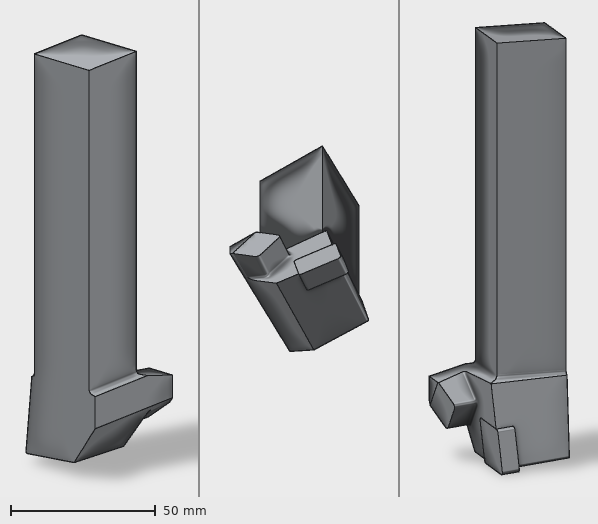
import cadquery as cq
import math

LENGTH = 151.4
SHANK = 25.0

HEAD_RIGHT = SHANK + 2.7
HEAD_DEPTH = 40.9
SHOULDER_Z = 32.7
SHOULDER_SLOPE = 15.0
ROOT_RADIUS = 1.7
RELIEF_START_Z = 20.1
RELIEF_RUN = 9.2
RELIEF_RISE = 14.2

TIP = (-7.7, 25.3, -0.1)
RAKE_PER_X = 0.09
RAKE_PER_Z = 0.08
EDGE_ANGLE = 5.0
HEAD_SETBACK = 1.5
HEAD_NOSE_RADIUS = 0.8
FLANK_LENGTH = 45.4

INSERT_EDGE = 16.0
INSERT_THICKNESS = 6.4
NOSE_RADIUS = 1.2

FINGER_TIP = (22.4, 10.1)
FINGER_ANGLE = 42.0
FINGER_WIDTH = 13.9
FINGER_REACH = 25.7
FINGER_EDGE_RADIUS = 1.5
FINGER_ROOT_RADIUS = 1.2
FINGER_ROOT_SPAN = 6.8
BEVEL_RUN = 9.5
BEVEL_DEPTH = 3.3

PICK_MARGIN = 0.2

RAKE_PLANE = cq.Plane(
    origin=TIP,
    xDir=(0, RAKE_PER_Z, 1),
    normal=(-RAKE_PER_X, 1, -RAKE_PER_Z),
)
NORMAL_TO_RAKE = cq.selectors.ParallelDirSelector(RAKE_PLANE.zDir)


def rhombus(corner, edge):
    """Corners of a rhombus on the rake plane, whose local axes follow Z and X."""
    angle = math.radians(EDGE_ANGLE)
    long_step = edge * math.cos(angle)
    short_step = edge * math.sin(angle)
    z, x = corner
    return [
        (z, x),
        (z + long_step, x + short_step),
        (z + long_step + short_step, x + short_step + long_step),
        (z + short_step, x + long_step),
    ]


def make_insert():
    plate = cq.Workplane(RAKE_PLANE).polyline(rhombus((0, 0), INSERT_EDGE)).close()
    plate = plate.extrude(-INSERT_THICKNESS)
    return plate.edges(NORMAL_TO_RAKE).fillet(NOSE_RADIUS)


def make_envelope():
    """Space the head may fill: sloping shoulder, relieved right side, flat front."""
    fall = math.tan(math.radians(SHOULDER_SLOPE))
    relief_end = (HEAD_RIGHT - 2 * RELIEF_RUN, RELIEF_START_Z - 2 * RELIEF_RISE)
    front_outline = (
        cq.Workplane("XZ")
        .moveTo(0, SHOULDER_Z)
        .lineTo(SHANK, SHOULDER_Z)
        .lineTo(HEAD_RIGHT, SHOULDER_Z - fall * (HEAD_RIGHT - SHANK))
        .lineTo(HEAD_RIGHT, RELIEF_START_Z)
        .lineTo(*relief_end)
        .lineTo(-SHANK, relief_end[1])
        .lineTo(-SHANK, SHOULDER_Z - fall * SHANK)
        .close()
        .extrude(-HEAD_DEPTH)
    )
    side_outline = (
        cq.Workplane("YZ")
        .moveTo(0, SHOULDER_Z)
        .lineTo(SHANK, SHOULDER_Z)
        .lineTo(HEAD_DEPTH, SHOULDER_Z - fall * (HEAD_DEPTH - SHANK))
        .lineTo(HEAD_DEPTH, relief_end[1])
        .lineTo(0, relief_end[1])
        .close()
        .extrude(2 * SHANK, both=True)
    )
    return front_outline.intersect(side_outline)


def make_clamp_finger():
    """Finger long enough to run out through the right side and back of the head."""
    angle = math.radians(FINGER_ANGLE)
    along = (math.sin(angle), math.cos(angle))
    across = (-math.cos(angle), math.sin(angle))
    z, x = FINGER_TIP
    z -= TIP[2]
    x -= TIP[0]
    upper_end = (z, x)
    lower_end = (z + FINGER_WIDTH * across[0], x + FINGER_WIDTH * across[1])
    finger = (
        cq.Workplane(RAKE_PLANE)
        .moveTo(*upper_end)
        .lineTo(*lower_end)
        .lineTo(lower_end[0] + FINGER_REACH * along[0], lower_end[1] + FINGER_REACH * along[1])
        .lineTo(upper_end[0] + FINGER_REACH * along[0], upper_end[1] + FINGER_REACH * along[1])
        .close()
        .extrude(HEAD_DEPTH - SHANK)
        .edges(NORMAL_TO_RAKE)
        .edges("<X or <Z")
        .fillet(FINGER_EDGE_RADIUS)
    )
    return finger.cut(make_finger_bevel())


def make_finger_bevel():
    """Wedge off the back corner of the finger end, square to its upper face."""
    angle = math.radians(FINGER_ANGLE)
    bevel_plane = cq.Plane(
        origin=(FINGER_TIP[1], HEAD_DEPTH, FINGER_TIP[0]),
        xDir=(math.cos(angle), 0, math.sin(angle)),
        normal=(-math.sin(angle), 0, math.cos(angle)),
    )
    return (
        cq.Workplane(bevel_plane)
        .moveTo(-BEVEL_RUN, -2 * BEVEL_DEPTH)
        .lineTo(2 * BEVEL_RUN, BEVEL_DEPTH)
        .lineTo(-BEVEL_RUN, BEVEL_DEPTH)
        .close()
        .extrude(HEAD_DEPTH, both=True)
    )


def make_shank():
    shank = cq.Workplane("XY", origin=(0, 0, SHOULDER_Z)).rect(SHANK, SHANK, centered=False)
    return shank.extrude(LENGTH - SHOULDER_Z)


def fillet_finger_root(head):
    """Round the inside corner where the sides of the finger meet the rake plane."""
    root = cq.selectors.BoxSelector(
        (FINGER_TIP[1] - FINGER_EDGE_RADIUS, SHANK, FINGER_TIP[0] - FINGER_WIDTH),
        (HEAD_RIGHT + FINGER_WIDTH, SHANK + FINGER_ROOT_SPAN, FINGER_TIP[0] + FINGER_WIDTH),
    )
    return head.edges(root).fillet(FINGER_ROOT_RADIUS)


def make_holder(insert):
    corner = (HEAD_SETBACK, HEAD_SETBACK)
    block = cq.Workplane(RAKE_PLANE).polyline(rhombus(corner, FLANK_LENGTH)).close()
    block = block.extrude(-2 * SHANK)
    block = block.edges(NORMAL_TO_RAKE).edges("<X").fillet(HEAD_NOSE_RADIUS)
    head = block.union(make_clamp_finger())
    head = fillet_finger_root(head)
    head = head.intersect(make_envelope())
    holder = head.union(make_shank())
    shank_root = cq.selectors.BoxSelector(
        (-PICK_MARGIN, PICK_MARGIN, SHOULDER_Z - PICK_MARGIN),
        (SHANK + PICK_MARGIN, SHANK + PICK_MARGIN, SHOULDER_Z + PICK_MARGIN),
    )
    holder = holder.edges(shank_root).fillet(ROOT_RADIUS)
    return holder.cut(insert)


insert = make_insert()
holder = make_holder(insert)
result = cq.Compound.makeCompound([holder.solids().val(), insert.val()])